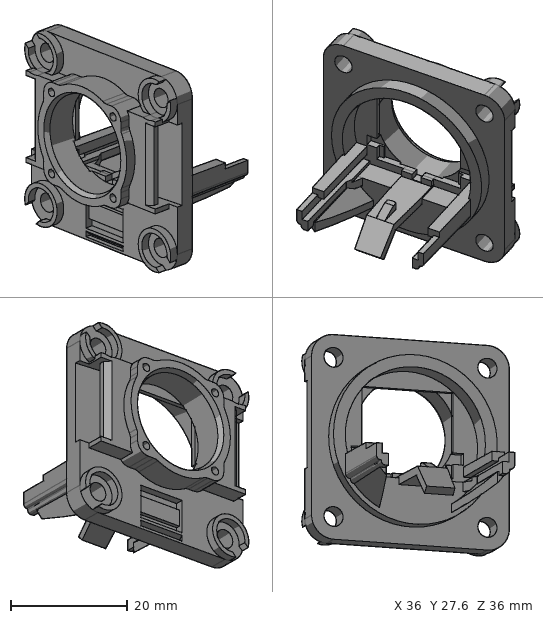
import cadquery as cq
import math

RAIL_FRONT = 2.0
BOSS_FRONT = 3.7
PLATE_FRONT = 5.3
BORE_END = 6.45
WEB_BACK = 7.35
PLATE_BACK = 8.95
DISK_BACK = 11.5
PRONG_STEP = 22.1
PRONG_TIP = 27.55

PLATE_SIZE = 36.0
CORNER_R = 4.0
SCREW_OFFSET = PLATE_SIZE / 2 - CORNER_R
SCREW_HOLE_D = 3.45
BOSS_BORE_R = 3.1
BOSS_NOTCH_W = 3.8

RING_Z = 2.5
RING_R = 10.95
LOBE_HALF = 9.5
LOBE_CORNER_R = 2.35
LOBE_BLEND_R = 2.0
LOBE_HOLE_OFFSET = 7.58
LOBE_HOLE_D = 1.5
LOBE_HOLE_DEPTH = 5.0
BORE_R = 9.0
BORE_CHAMFER = 0.5
BORE_CHAMFER_DEPTH = 1.0

RAIL_TOP = 11.07
RAIL_BOTTOM = -6.1
RAIL_THICKNESS = 0.92
RAIL_END_X = 15.93
HOOK_X = 14.63
HOOK_BEVEL_X = 13.54
HOOK_BEVEL_Y = 2.95
HOOK_BACK_Y = 4.0
CLIP_WALL_X = 10.8
CLIP_FLOOR_INNER_Y = 5.92
CLIP_FLOOR_OUTER_Y = 6.47

POCKET_WIDTH = 9.1
POCKET_TOP = -9.63
POCKET_BOTTOM = -15.9
POCKET_FLOOR_Y = 6.83
POCKET_STEP = 1.57
POCKET_PLATEAU_Y = 6.05
SNAP_TOP = -16.44
SNAP_BACK_TOP = -17.25
SNAP_BOTTOM = -17.5
SNAP_DEPTH = 0.95

DISK_R = 14.9
HOLLOW_R = 12.75
HOLLOW_FLOOR = -6.95
WINDOW_HALF = 8.3
WINDOW_TOP = 9.6
WINDOW_BOTTOM = -5.44
NOTCH_FRONT = 6.05
NOTCH_TOP = -1.0
NOTCH_STEP = -3.0
NOTCH_UPPER_HALF = 10.2
NOTCH_LOWER_HALF = 7.4
SILL_HALF = 3.0
SILL_BACK = 8.05

PRONG_OUTER_X = 12.75
PRONG_INNER_X = 10.2
PRONG_TOP = -3.35
PRONG_BOTTOM = -8.6
PRONG_DRAFT = 0.5
PRONG_ROUND_TOP = -6.86
PRONG_ROUND_R = (PRONG_ROUND_TOP - PRONG_BOTTOM) / 2
PRONG_FOOT_X = PRONG_OUTER_X - 2 * PRONG_ROUND_R
GROOVE_WALL_X = 11.5
GROOVE_TOP = -5.13
GROOVE_BOTTOM = -6.35
TIP_TOP = -4.6
GUSSET_R = 14.05
GUSSET_TIP_Y = 25.6
GUSSET_TIP_X = 10.1
GUSSET_ROOT_X = 6.55
WEDGE_X = 8.7
WEDGE_END_Y = 14.5
LIP_X = 9.67

TAB_TOP = -6.65
TAB_THICKNESS = 1.5
TAB_ROOT_HALF = 3.02
TAB_TIP_HALF = 2.57
TAB_BEND_Y = 20.55
TAB_BEND_ANGLE = 45
TAB_TIP_Y = 24.95
RIB_WIDTH = 1.72
RIB_TOP = -5.3
RIB_NOSE_Y = 16.4
RIB_SHOULDER_Y = 16.7
RIB_SLOPE_Y = 17.5


def box(x0, x1, y0, y1, z0, z1):
    return cq.Workplane("XY").box(x1 - x0, y1 - y0, z1 - z0, centered=False).translate((x0, y0, z0))


def front_plane(y):
    """XZ sketch plane at depth y; shapes are extruded by a negative length toward +Y."""
    return cq.Workplane("XZ", origin=(0, y, 0))


def cylinder(x, z, radius, y0, y1):
    return front_plane(y0).center(x, z).circle(radius).extrude(y0 - y1)


def side_profile(points, half_width):
    """Outline of (y, z) points extruded symmetrically along X."""
    return cq.Workplane("YZ").polyline(points).close().extrude(half_width, both=True)


def both_sides(solid):
    return solid.union(solid.mirror("YZ"))


def corner_signs():
    return [(sx, sz) for sx in (-1, 1) for sz in (-1, 1)]


def base_plate():
    """Square plate with rounded corners and the round disk on its back."""
    plate = front_plane(PLATE_FRONT).rect(PLATE_SIZE, PLATE_SIZE).extrude(PLATE_FRONT - PLATE_BACK)
    plate = plate.edges("|Y").fillet(CORNER_R)
    return plate.union(cylinder(0, 0, DISK_R, PLATE_BACK, DISK_BACK))


def lens_ring():
    """Round ring wall merged with a square that gives four screw lobes."""
    side = 2 * LOBE_HALF
    lobes = front_plane(0).rect(side, side).extrude(-PLATE_FRONT).edges("|Y").fillet(LOBE_CORNER_R)
    ring = lobes.union(front_plane(0).circle(RING_R).extrude(-PLATE_FRONT))
    junction = math.sqrt(RING_R**2 - LOBE_HALF**2)
    for u, v in ((junction, LOBE_HALF), (LOBE_HALF, junction)):
        for sx, sz in corner_signs():
            x = sx * u
            z = sz * v
            edge = ring.edges("|Y").edges(cq.selectors.NearestToPointSelector((x, PLATE_FRONT / 2, z)))
            ring = edge.fillet(LOBE_BLEND_R)
    return ring.translate((0, 0, RING_Z))


def lens_bore():
    """Chamfered bore of the ring, with a blind screw hole in each lobe."""
    bore = cylinder(0, RING_Z, BORE_R, 0, BORE_END)
    mouth = (
        front_plane(0)
        .center(0, RING_Z)
        .circle(BORE_R + BORE_CHAMFER)
        .workplane(offset=-BORE_CHAMFER_DEPTH)
        .circle(BORE_R)
        .loft()
    )
    cutter = bore.union(mouth)
    for sx, sz in corner_signs():
        x = sx * LOBE_HOLE_OFFSET
        z = RING_Z + sz * LOBE_HOLE_OFFSET
        cutter = cutter.union(cylinder(x, z, LOBE_HOLE_D / 2, 0, LOBE_HOLE_DEPTH))
    return cutter


def screw_centers():
    return [(sx * SCREW_OFFSET, sz * SCREW_OFFSET) for sx, sz in corner_signs()]


def cylinders_at_screws(radius, y0, y1):
    cylinders = cq.Workplane("XY")
    for x, z in screw_centers():
        cylinders = cylinders.union(cylinder(x, z, radius, y0, y1))
    return cylinders


def screw_bosses():
    """Hollow round bosses, each notched open toward its plate corner."""
    bosses = cq.Workplane("XY")
    for x, z in screw_centers():
        boss = cylinder(x, z, CORNER_R, BOSS_FRONT, PLATE_FRONT)
        notch = box(0, 2 * CORNER_R, 0, PLATE_FRONT, -BOSS_NOTCH_W / 2, BOSS_NOTCH_W / 2)
        outward_angle = math.degrees(math.atan2(z, x))
        notch = notch.rotate((0, 0, 0), (0, 1, 0), -outward_angle).translate((x, 0, z))
        bosses = bosses.union(boss.cut(notch))
    return bosses.cut(cylinders_at_screws(BOSS_BORE_R, 0, PLATE_FRONT))


def rail_block():
    """Block across the ring whose rails are relieved by the boss bores."""
    block = box(-RAIL_END_X, RAIL_END_X, RAIL_FRONT, PLATE_FRONT, RAIL_BOTTOM, RAIL_TOP)
    return block.cut(cylinders_at_screws(BOSS_BORE_R, 0, PLATE_FRONT))


def side_clip_pockets():
    """Undercut pockets between the rails, open at the sides, with a sloping floor."""
    outer_x = PLATE_SIZE / 2
    profile = [
        (outer_x, 0),
        (HOOK_BEVEL_X, 0),
        (HOOK_BEVEL_X, RAIL_FRONT),
        (HOOK_X, HOOK_BEVEL_Y),
        (HOOK_X, HOOK_BACK_Y),
        (CLIP_WALL_X, HOOK_BACK_Y),
        (CLIP_WALL_X, CLIP_FLOOR_INNER_Y),
        (outer_x, CLIP_FLOOR_OUTER_Y),
    ]
    bottom = RAIL_BOTTOM + RAIL_THICKNESS
    top = RAIL_TOP - RAIL_THICKNESS
    pocket = cq.Workplane("XY", origin=(0, 0, bottom)).polyline(profile).close().extrude(top - bottom)
    return both_sides(pocket)


def bottom_clip_pocket():
    """Pocket with a raised plateau, and a wedge-shaped snap slot below it."""
    pocket = side_profile(
        [
            (PLATE_FRONT, POCKET_TOP),
            (POCKET_FLOOR_Y, POCKET_TOP),
            (POCKET_FLOOR_Y, POCKET_TOP - POCKET_STEP),
            (POCKET_PLATEAU_Y, POCKET_TOP - POCKET_STEP),
            (POCKET_PLATEAU_Y, POCKET_BOTTOM + POCKET_STEP),
            (POCKET_FLOOR_Y, POCKET_BOTTOM + POCKET_STEP),
            (POCKET_FLOOR_Y, POCKET_BOTTOM),
            (PLATE_FRONT, POCKET_BOTTOM),
        ],
        POCKET_WIDTH / 2,
    )
    snap_slot = side_profile(
        [
            (PLATE_FRONT, SNAP_TOP),
            (PLATE_FRONT + SNAP_DEPTH, SNAP_BACK_TOP),
            (PLATE_FRONT + SNAP_DEPTH, SNAP_BOTTOM),
            (PLATE_FRONT, SNAP_BOTTOM),
        ],
        POCKET_WIDTH / 2,
    )
    return pocket.union(snap_slot)


def rear_hollow():
    """Round hollow with a flat floor, and the rectangular window through to the bore.

    The lower part of the window widens in two steps behind the bore wall.
    """
    hollow = cylinder(0, 0, HOLLOW_R, WEB_BACK, DISK_BACK)
    floor = box(-DISK_R, DISK_R, WEB_BACK, DISK_BACK, -DISK_R, HOLLOW_FLOOR)
    window = box(-WINDOW_HALF, WINDOW_HALF, BORE_END, WEB_BACK, WINDOW_BOTTOM, WINDOW_TOP)
    hollow = hollow.cut(floor).union(window)
    for half, bottom in ((NOTCH_UPPER_HALF, NOTCH_STEP), (NOTCH_LOWER_HALF, WINDOW_BOTTOM)):
        hollow = hollow.union(box(-half, half, NOTCH_FRONT, WEB_BACK, bottom, NOTCH_TOP))
    return hollow


def window_sill():
    """Thicker middle part of the lower window edge."""
    return box(-SILL_HALF, SILL_HALF, BORE_END, SILL_BACK, HOLLOW_FLOOR, WINDOW_BOTTOM)


def sill_groove():
    """Groove through the sill in line with the rib, level with the bottom of the bore."""
    bore_bottom = RING_Z - BORE_R
    return box(-RIB_WIDTH / 2, RIB_WIDTH / 2, BORE_END, SILL_BACK, bore_bottom, WINDOW_BOTTOM)


def grooved_arm():
    """Arm with an inward-facing groove and two rounded steps along its lower outer edge."""
    inset = PRONG_ROUND_R * (1 - math.sqrt(0.5))
    step_x = PRONG_OUTER_X - PRONG_ROUND_R
    step_z = PRONG_BOTTOM + PRONG_ROUND_R
    arm = (
        front_plane(WEB_BACK)
        .moveTo(PRONG_INNER_X, PRONG_TOP)
        .lineTo(PRONG_OUTER_X, PRONG_TOP)
        .lineTo(PRONG_OUTER_X, PRONG_ROUND_TOP)
        .threePointArc((PRONG_OUTER_X - inset, step_z + inset), (step_x, step_z))
        .threePointArc((step_x - inset, PRONG_BOTTOM + inset), (PRONG_FOOT_X, PRONG_BOTTOM))
        .lineTo(PRONG_INNER_X, PRONG_BOTTOM)
        .close()
        .extrude(WEB_BACK - PRONG_TIP, taper=PRONG_DRAFT)
    )
    groove = box(0, GROOVE_WALL_X, WEB_BACK, PRONG_TIP, GROOVE_BOTTOM, GROOVE_TOP)
    inner_step = box(0, GROOVE_WALL_X, PRONG_STEP, PRONG_TIP, GROOVE_BOTTOM, 0)
    top_step = box(0, PRONG_OUTER_X, PRONG_STEP, PRONG_TIP, TIP_TOP, 0)
    return arm.cut(groove).cut(inner_step).cut(top_step)


def gusset():
    """Curved shell under the arm, narrowing toward the tip."""
    plan = [
        (GUSSET_ROOT_X, PLATE_BACK),
        (GUSSET_ROOT_X, DISK_BACK),
        (GUSSET_TIP_X, GUSSET_TIP_Y),
        (PRONG_OUTER_X, GUSSET_TIP_Y),
        (PRONG_OUTER_X, PLATE_BACK),
    ]
    shell = front_plane(PLATE_BACK).circle(GUSSET_R).circle(HOLLOW_R)
    shell = shell.extrude(PLATE_BACK - GUSSET_TIP_Y)
    wedge = cq.Workplane("XY", origin=(0, 0, -GUSSET_R)).polyline(plan).close()
    return shell.intersect(wedge.extrude(GUSSET_R + PRONG_BOTTOM + PRONG_ROUND_R))


def root_wedge():
    """Flat triangular web that ties the arm to the gusset, beside a raised lip along the arm."""
    slope = (WEDGE_END_Y - DISK_BACK) / (PRONG_INNER_X - WEDGE_X)
    lip_end_y = DISK_BACK + slope * (LIP_X - WEDGE_X)
    web_plan = [
        (WEDGE_X, DISK_BACK),
        (PRONG_INNER_X, WEDGE_END_Y),
        (PRONG_FOOT_X, WEDGE_END_Y),
        (PRONG_FOOT_X, DISK_BACK),
    ]
    lip_plan = [
        (LIP_X, WEB_BACK),
        (LIP_X, lip_end_y),
        (PRONG_INNER_X, WEDGE_END_Y),
        (PRONG_FOOT_X, WEDGE_END_Y),
        (PRONG_FOOT_X, WEB_BACK),
    ]
    base = cq.Workplane("XY", origin=(0, 0, PRONG_BOTTOM))
    web = base.polyline(web_plan).close().extrude(HOLLOW_FLOOR - PRONG_BOTTOM)
    lip = base.polyline(lip_plan).close().extrude(GROOVE_BOTTOM - PRONG_BOTTOM)
    return web.union(lip)


def side_prongs():
    return both_sides(grooved_arm().union(gusset()).union(root_wedge()))


def middle_tab():
    """Tapering tab whose end bends downward."""
    bend = math.radians(TAB_BEND_ANGLE)
    tip_top = TAB_TOP - (TAB_TIP_Y - TAB_BEND_Y) * math.tan(bend)
    tip_bottom_y = TAB_TIP_Y - TAB_THICKNESS * math.sin(bend)
    tip_bottom = tip_top - TAB_THICKNESS * math.cos(bend)
    bend_shift = TAB_THICKNESS * math.tan(bend / 2)
    profile = [
        (WEB_BACK, TAB_TOP),
        (TAB_BEND_Y, TAB_TOP),
        (TAB_TIP_Y, tip_top),
        (tip_bottom_y, tip_bottom),
        (TAB_BEND_Y - bend_shift, TAB_TOP - TAB_THICKNESS),
        (WEB_BACK, TAB_TOP - TAB_THICKNESS),
    ]
    plan = [
        (-TAB_ROOT_HALF, WEB_BACK),
        (-TAB_ROOT_HALF, DISK_BACK),
        (-TAB_TIP_HALF, TAB_TIP_Y),
        (TAB_TIP_HALF, TAB_TIP_Y),
        (TAB_ROOT_HALF, DISK_BACK),
        (TAB_ROOT_HALF, WEB_BACK),
    ]
    outline = cq.Workplane("XY").polyline(plan).close().extrude(-PLATE_SIZE / 2)
    return side_profile(profile, TAB_ROOT_HALF).intersect(outline)


def tab_rib():
    """Round-nosed rib on the tab, sloping down to the bend."""
    profile = [
        (RIB_NOSE_Y, TAB_TOP - TAB_THICKNESS / 2),
        (RIB_NOSE_Y, RIB_TOP),
        (RIB_SLOPE_Y, RIB_TOP),
        (TAB_BEND_Y, TAB_TOP),
        (TAB_BEND_Y, TAB_TOP - TAB_THICKNESS / 2),
    ]
    half = RIB_WIDTH / 2
    plan = (
        cq.Workplane("XY")
        .moveTo(-half, TAB_BEND_Y)
        .lineTo(-half, RIB_SHOULDER_Y)
        .threePointArc((0, RIB_NOSE_Y), (half, RIB_SHOULDER_Y))
        .lineTo(half, TAB_BEND_Y)
        .close()
        .extrude(-PLATE_SIZE / 2)
    )
    return side_profile(profile, half).intersect(plan)


body = base_plate().union(screw_bosses())
body = body.union(lens_ring())
body = body.union(rail_block())
body = body.cut(cylinders_at_screws(SCREW_HOLE_D / 2, 0, PLATE_BACK))
body = body.cut(side_clip_pockets())
body = body.cut(lens_bore())
body = body.cut(bottom_clip_pocket())
body = body.cut(rear_hollow())
body = body.union(window_sill()).cut(sill_groove())
body = body.union(side_prongs())
result = body.union(middle_tab()).union(tab_rib())